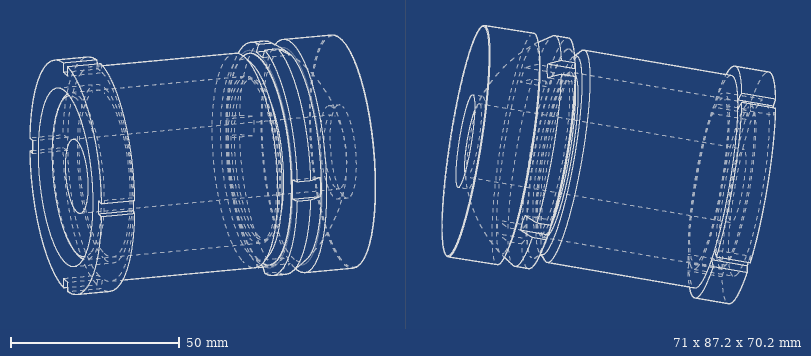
import cadquery as cq
import math

RIM_RADIUS = 34.9
BEVEL_END_RADIUS = 32.5
BORE_RADIUS = 11.1

FLANGE_RADIUS = 35.1
BODY_RADIUS = 32.1
FLANGE_HEIGHT = 10.4
FLANGE_BEVEL = 0.5
SLEEVE_HEIGHT = 58.0
SLEEVE_CHAMFER = 2.0
RECESS_RADIUS = 26.7
RECESS_DEPTH = 12.2
SLEEVE_SLOT_WIDTH = 4.0

THREAD_RADIUS = 24.9
THREAD_CHAMFER = 0.9
THREAD_CHAMFER_LENGTH = 0.6
NECK_RADIUS = THREAD_RADIUS - THREAD_CHAMFER
SCREW_START = 3.5
THREAD_END = 58.8
HEAD_START = 60.35
HEAD_STEP_HEIGHT = 0.2
HEAD_STEP_RADIUS = 31.7
HEAD_BEVEL = 0.7
HEAD_RIM_TOP = 65.4
SCREW_SLOT_WIDTH = 6.0
SCREW_SLOT_FLOOR = 32.4

SEAT_RADIUS = 40.0
SEAT_CENTRE = HEAD_RIM_TOP - math.sqrt(SEAT_RADIUS**2 - RIM_RADIUS**2)

WASHER_START = 70.4
WASHER_END = 86.3
WASHER_BEVEL = 0.7
WASHER_TOP_CHAMFER = 0.3
WASHER_HOLE_RADIUS = 13.95
TILT_TO_X = 1.5
TILT_TO_Z = 0.4

SLOT_COUNT = 4


def turned(outline):
    """Revolve a closed (radius, y) outline about the Y axis."""
    return outline.close().revolve(360, (0, 0, 0), (0, 1, 0))


def seat_height(radius):
    """Y of the spherical seat at a given distance from the axis."""
    return SEAT_CENTRE + math.sqrt(SEAT_RADIUS**2 - radius**2)


def seat_radius_at(height):
    """Distance of the spherical seat from the axis at a given Y."""
    return math.sqrt(SEAT_RADIUS**2 - (height - SEAT_CENTRE) ** 2)


def seat_arc_middle(inner, outer):
    """A point of the seat between two radii."""
    radius = (inner + outer) / 2
    return radius, seat_height(radius)


def cut_rim_slots(body, width, floor_radius, start, end):
    """Cut spanner slots with flat floors, evenly spaced around the rim."""
    depth = FLANGE_RADIUS - floor_radius + 0.9
    slot = cq.Workplane("XY").box(depth, end - start, width, centered=(False, False, True))
    slot = slot.translate((floor_radius, start, 0))
    for index in range(SLOT_COUNT):
        body = body.cut(slot.rotate((0, 0, 0), (0, 1, 0), index * 360 / SLOT_COUNT))
    return body


def make_sleeve():
    """Flanged sleeve with a threaded bore and a recess in its foot."""
    outline = cq.Workplane("ZY").polyline([
        (RECESS_RADIUS, 0),
        (FLANGE_RADIUS, 0),
        (FLANGE_RADIUS, FLANGE_HEIGHT),
        (BODY_RADIUS, FLANGE_HEIGHT + FLANGE_BEVEL),
        (BODY_RADIUS, SLEEVE_HEIGHT - SLEEVE_CHAMFER),
        (BODY_RADIUS - SLEEVE_CHAMFER, SLEEVE_HEIGHT),
        (THREAD_RADIUS, SLEEVE_HEIGHT),
        (THREAD_RADIUS, RECESS_DEPTH),
        (RECESS_RADIUS, RECESS_DEPTH),
    ])
    slot_end = FLANGE_HEIGHT + FLANGE_BEVEL
    return cut_rim_slots(turned(outline), SLEEVE_SLOT_WIDTH, BODY_RADIUS, 0, slot_end)


def make_screw():
    """Hollow screw whose head ends in a convex spherical seat."""
    bevel_start = HEAD_START + HEAD_STEP_HEIGHT
    outline = (
        cq.Workplane("XY")
        .moveTo(BORE_RADIUS, SCREW_START)
        .lineTo(NECK_RADIUS, SCREW_START)
        .lineTo(THREAD_RADIUS, SCREW_START + THREAD_CHAMFER_LENGTH)
        .lineTo(THREAD_RADIUS, THREAD_END)
        .lineTo(NECK_RADIUS, THREAD_END + THREAD_CHAMFER_LENGTH)
        .lineTo(NECK_RADIUS, HEAD_START)
        .lineTo(HEAD_STEP_RADIUS, HEAD_START)
        .lineTo(HEAD_STEP_RADIUS, bevel_start)
        .lineTo(BEVEL_END_RADIUS, bevel_start)
        .lineTo(RIM_RADIUS, bevel_start + HEAD_BEVEL)
        .lineTo(RIM_RADIUS, HEAD_RIM_TOP)
        .threePointArc(
            seat_arc_middle(BORE_RADIUS, RIM_RADIUS),
            (BORE_RADIUS, seat_height(BORE_RADIUS)),
        )
    )
    slot_end = seat_height(SCREW_SLOT_FLOOR)
    return cut_rim_slots(turned(outline), SCREW_SLOT_WIDTH, SCREW_SLOT_FLOOR, HEAD_START, slot_end)


def make_washer():
    """Washer with a concave spherical seat, tilted on the screw head."""
    seat_edge = seat_radius_at(WASHER_START)
    outline = (
        cq.Workplane("ZY")
        .moveTo(seat_edge, WASHER_START)
        .lineTo(BEVEL_END_RADIUS, WASHER_START)
        .lineTo(RIM_RADIUS, WASHER_START + WASHER_BEVEL)
        .lineTo(RIM_RADIUS, WASHER_END - WASHER_TOP_CHAMFER)
        .lineTo(RIM_RADIUS - WASHER_TOP_CHAMFER, WASHER_END)
        .lineTo(WASHER_HOLE_RADIUS, WASHER_END)
        .lineTo(WASHER_HOLE_RADIUS, seat_height(WASHER_HOLE_RADIUS))
        .threePointArc(
            seat_arc_middle(WASHER_HOLE_RADIUS, seat_edge),
            (seat_edge, WASHER_START),
        )
    )
    centre = (0, SEAT_CENTRE, 0)
    washer = turned(outline)
    washer = washer.rotate(centre, (0, SEAT_CENTRE, 1), -TILT_TO_X)
    return washer.rotate(centre, (1, SEAT_CENTRE, 0), TILT_TO_Z)


sleeve = make_sleeve()
screw = make_screw()
washer = make_washer()

result = cq.Compound.makeCompound([sleeve.val(), screw.val(), washer.val()])